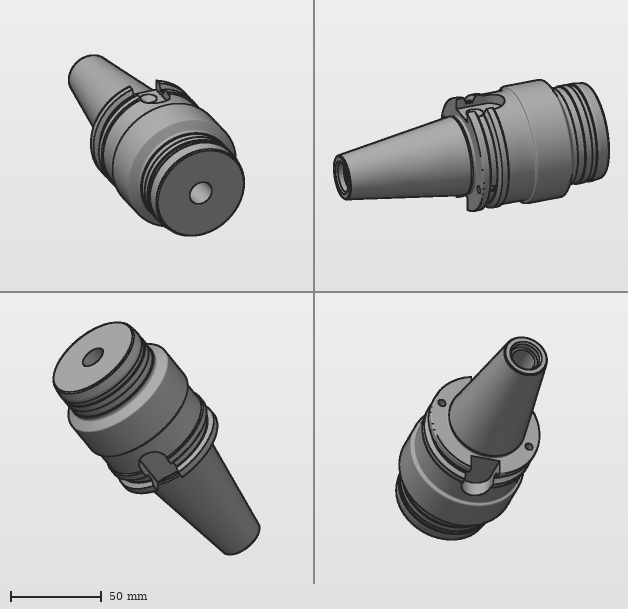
import cadquery as cq
import math

LENGTH = 148.8
TAPER_SMALL_DIA = 25.0
TAPER_LARGE_DIA = 44.5
NECK_DIA = 43.6
FLANGE_DIA = 63.5
GROOVE_DIA = 56.2
BODY_FRONT_DIA = 61.7
BODY_REAR_DIA = 62.0
COLLAR_DIA = 66.0
NOSE_DIA = 55.0
NOSE_GROOVE_DIA = 54.0
NOSE_END_DIA = 53.5

SHANK_CHAMFER = 0.6
TAPER_END = 68.3
NECK_START = 69.5
NECK_FILLET = 0.6

FLANGE_FRONT = 71.4
FLANGE_REAR = 87.2
FLANGE_EDGE_SIZE = 0.7
GROOVE_START = 77.4
GROOVE_END = 81.2
GROOVE_FLANK_HEIGHT = 2.8
GROOVE_FLANK_ANGLE = 30.0
GROOVE_FLANK_RUN = GROOVE_FLANK_HEIGHT * math.tan(math.radians(GROOVE_FLANK_ANGLE))

BODY_START = 87.8
COLLAR_START = 103.0
COLLAR_END = 123.8
COLLAR_ROOT_FILLET = 0.9
COLLAR_EDGE_FILLET = 1.0
SHOULDER_ANGLE = 30.0
SHOULDER_RUN = (COLLAR_DIA - NOSE_DIA) / 2 * math.tan(math.radians(SHOULDER_ANGLE))
SHOULDER_END = COLLAR_END + SHOULDER_RUN
SHOULDER_FILLET = 1.0

NOSE_GROOVES = [(129.4, 134.3), (138.0, 141.2)]
GROOVE_BEVEL = 0.5
TIP_START = 143.2
TIP_CHAMFER = 0.7

BORE_DIA = 13.4
MOUTH_DIA = 16.4
MOUTH_DEPTH = 4.5
MOUTH_CHAMFER = 1.0

SLOT_WIDTH = 16.4
SLOT_END = 96.2
TOP_SLOT_FLOOR = 24.7
BOTTOM_SLOT_FLOOR = -22.5
DIMPLE_DIA = 9.5
DIMPLE_ANGLE = 120.0
DIMPLE_X = 79.1

PORT_X = 79.0
PORT_ANGLE = 20.0
PORT_CIRCLE_RADIUS = 26.9
AXIAL_PORT_DIA = 4.2
AXIAL_PORT_END = 78.0
RADIAL_PORT_DIA = 4.2
RADIAL_PORT_FLOOR = 27.0
INNER_PORT_DIA = 3.3
INNER_PORT_FLOOR = 21.5


def outer_profile():
    """Half outline of the turned body as (x, radius) points."""
    flange_r = FLANGE_DIA / 2
    groove_r = GROOVE_DIA / 2
    flank_r = flange_r - GROOVE_FLANK_HEIGHT
    nose_r = NOSE_DIA / 2
    nose_groove_r = NOSE_GROOVE_DIA / 2
    points = [
        (0, 0),
        (0, TAPER_SMALL_DIA / 2 - SHANK_CHAMFER),
        (SHANK_CHAMFER, TAPER_SMALL_DIA / 2),
        (TAPER_END, TAPER_LARGE_DIA / 2),
        (NECK_START, NECK_DIA / 2),
        (FLANGE_FRONT, NECK_DIA / 2),
        (FLANGE_FRONT, flange_r),
        (GROOVE_START - GROOVE_FLANK_RUN, flange_r),
        (GROOVE_START, flank_r),
        (GROOVE_START, groove_r),
        (GROOVE_END, groove_r),
        (GROOVE_END, flank_r),
        (GROOVE_END + GROOVE_FLANK_RUN, flange_r),
        (FLANGE_REAR - FLANGE_EDGE_SIZE, flange_r),
        (FLANGE_REAR, flange_r - FLANGE_EDGE_SIZE),
        (BODY_START, BODY_FRONT_DIA / 2),
        (COLLAR_START, BODY_REAR_DIA / 2),
        (COLLAR_START, COLLAR_DIA / 2),
        (COLLAR_END, COLLAR_DIA / 2),
        (SHOULDER_END, nose_r),
    ]
    for start, end in NOSE_GROOVES:
        points += [
            (start, nose_r),
            (start + GROOVE_BEVEL, nose_groove_r),
            (end - GROOVE_BEVEL, nose_groove_r),
            (end, nose_r),
        ]
    points += [
        (TIP_START, nose_r),
        (LENGTH - TIP_CHAMFER, NOSE_END_DIA / 2),
        (LENGTH, NOSE_END_DIA / 2 - TIP_CHAMFER),
        (LENGTH, 0),
    ]
    return points


def fillet_ring(body, x, diameter, radius):
    """Round the circular edge of the given diameter at the given X."""
    tolerance = 0.07
    size = diameter / 2 + tolerance
    ring = cq.selectors.BoxSelector(
        (x - tolerance, -size, -size), (x + tolerance, size, size), boundingbox=True
    )
    edges = body.edges(ring).filter(lambda e: abs(e.radius() - diameter / 2) < tolerance)
    return edges.fillet(radius)


def turned_body():
    outline = cq.Workplane("XY").polyline(outer_profile()).close()
    body = outline.revolve(360, (0, 0, 0), (1, 0, 0))
    body = fillet_ring(body, FLANGE_FRONT, NECK_DIA, NECK_FILLET)
    body = fillet_ring(body, FLANGE_FRONT, FLANGE_DIA, FLANGE_EDGE_SIZE)
    body = fillet_ring(body, COLLAR_START, BODY_REAR_DIA, COLLAR_ROOT_FILLET)
    body = fillet_ring(body, COLLAR_START, COLLAR_DIA, COLLAR_EDGE_FILLET)
    body = fillet_ring(body, COLLAR_END, COLLAR_DIA, COLLAR_EDGE_FILLET)
    return fillet_ring(body, SHOULDER_END, NOSE_DIA, SHOULDER_FILLET)


def stepped_bore():
    outline = cq.Workplane("XY").polyline([
        (0, 0),
        (0, MOUTH_DIA / 2 + MOUTH_CHAMFER),
        (MOUTH_CHAMFER, MOUTH_DIA / 2),
        (MOUTH_DEPTH, MOUTH_DIA / 2),
        (MOUTH_DEPTH, BORE_DIA / 2),
        (LENGTH, BORE_DIA / 2),
        (LENGTH, 0),
    ]).close()
    return outline.revolve(360, (0, 0, 0), (1, 0, 0))


def drive_slot(floor):
    """Round-ended slot open at the flange front, cut outward from its floor."""
    height = math.copysign(COLLAR_DIA / 2, floor) - floor
    arc_x = SLOT_END - SLOT_WIDTH / 2
    half = SLOT_WIDTH / 2
    outline = (
        cq.Workplane("XY", origin=(0, 0, floor))
        .moveTo(FLANGE_FRONT, -half)
        .lineTo(arc_x, -half)
        .threePointArc((SLOT_END, 0), (arc_x, half))
        .lineTo(FLANGE_FRONT, half)
        .close()
    )
    return outline.extrude(height)


def dimple():
    """Conical recess in the floor of the top slot."""
    radius = DIMPLE_DIA / 2
    depth = radius / math.tan(math.radians(DIMPLE_ANGLE / 2))
    tip = cq.Vector(DIMPLE_X, 0, TOP_SLOT_FLOOR - depth)
    return cq.Workplane(cq.Solid.makeCone(0, radius, depth, tip, cq.Vector(0, 0, 1)))


def coolant_port(angle):
    """Axial hole from the flange face meeting a stepped radial hole from the groove."""
    outward = cq.Vector(0, math.cos(math.radians(angle)), math.sin(math.radians(angle)))
    along_x = cq.Vector(1, 0, 0)

    def radial_hole(diameter, floor):
        start = along_x * PORT_X + outward * floor
        depth = FLANGE_DIA / 2 - floor
        return cq.Solid.makeCylinder(diameter / 2, depth, start, outward)

    axial_start = along_x * FLANGE_FRONT + outward * PORT_CIRCLE_RADIUS
    axial_depth = AXIAL_PORT_END - FLANGE_FRONT
    axial = cq.Solid.makeCylinder(AXIAL_PORT_DIA / 2, axial_depth, axial_start, along_x)
    outer = radial_hole(RADIAL_PORT_DIA, RADIAL_PORT_FLOOR)
    inner = radial_hole(INNER_PORT_DIA, INNER_PORT_FLOOR)
    return cq.Workplane(axial).union(cq.Workplane(outer)).union(cq.Workplane(inner))


result = turned_body().cut(stepped_bore())
for slot_floor in (TOP_SLOT_FLOOR, BOTTOM_SLOT_FLOOR):
    result = result.cut(drive_slot(slot_floor))
result = result.cut(dimple())
for port_angle in (PORT_ANGLE, PORT_ANGLE + 180):
    result = result.cut(coolant_port(port_angle))